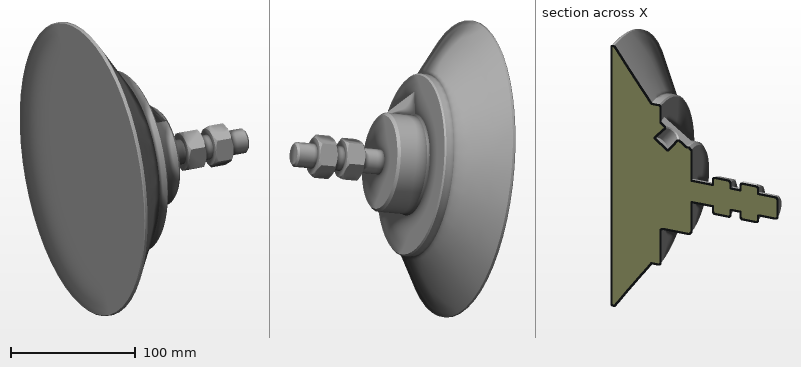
import cadquery as cq
import math

cup_radius = 119.5
face_radius = 118.9
lip_bevel = 0.7
lip_depth = 2.6

disc_radius = 147.0 / 2
disc_front = 34.7
disc_back = 42.5
disc_bevel = 1.2

boss_radius = 80.0 / 2
boss_back = 69.4
boss_bevel = 2.2
foot_flare = 1.0
foot_height = 2.0

stud_radius = 20.0 / 2
stud_back = 144.0
stud_bevel = 1.7

nut_across_flats = 30.4
nut_thickness = 15.8
nut_bevel_radius = 14.8
nut_bevel_depth = 2.0
nuts = [(87.5, -4.5), (111.5, 6.2)]

port_turn = 5
port_width = 26.3
port_reach = 57.5
port_top = boss_back - boss_bevel
port_hole_diameter = 16.0
port_rim_diameter = 18.0
port_hole_depth = 15.0
port_centre_depth = 52.5


def revolved(profile):
    """Turn a (radius, depth) outline about the Y axis."""
    return cq.Workplane("XY").polyline(profile).close().revolve(360, (0, 0, 0), (0, 1, 0))


def make_body():
    return revolved([
        (0, 0),
        (face_radius, 0),
        (cup_radius, lip_bevel),
        (cup_radius, lip_depth),
        (disc_radius, disc_front),
        (disc_radius, disc_back - disc_bevel),
        (disc_radius - disc_bevel, disc_back),
        (boss_radius + foot_flare, disc_back),
        (boss_radius, disc_back + foot_height),
        (boss_radius, boss_back - boss_bevel),
        (boss_radius - boss_bevel, boss_back),
        (stud_radius, boss_back),
        (stud_radius, stud_back - stud_bevel),
        (stud_radius - stud_bevel, stud_back),
        (0, stud_back),
    ])


def make_nut(front, turn):
    corner_radius = nut_across_flats / 2 / math.cos(math.pi / 6)
    back = front + nut_thickness
    prism = (
        cq.Workplane("XZ", origin=(0, front, 0))
        .polygon(6, 2 * corner_radius)
        .extrude(-nut_thickness)
        .rotate((0, 0, 0), (0, 1, 0), 90 - turn)
    )
    envelope = revolved([
        (0, front),
        (nut_bevel_radius, front),
        (corner_radius, front + nut_bevel_depth),
        (corner_radius, back - nut_bevel_depth),
        (nut_bevel_radius, back),
        (0, back),
    ])
    return prism.intersect(envelope)


slope_start = math.sqrt(boss_radius**2 - (port_width / 2) ** 2)
slope_run = port_reach - slope_start
slope_drop = port_top - disc_back


def make_port_block():
    block = (
        cq.Workplane("YZ", origin=(-port_width / 2, 0, 0))
        .polyline([(disc_back, 0), (port_top, 0), (port_top, slope_start), (disc_back, port_reach)])
        .close()
        .extrude(port_width)
    )
    return block.rotate((0, 0, 0), (0, 1, 0), port_turn)


def make_port_hole():
    """Blind hole square to the slope, with a bevelled mouth."""
    rim_bevel = (port_rim_diameter - port_hole_diameter) / 2
    centre_height = port_reach - (port_centre_depth - disc_back) * slope_run / slope_drop
    mouth = cq.Plane(
        origin=(0, port_centre_depth, centre_height),
        xDir=(1, 0, 0),
        normal=(0, -slope_run, -slope_drop),
    )
    bore = cq.Workplane(mouth).circle(port_hole_diameter / 2).extrude(port_hole_depth)
    rim = (
        cq.Workplane(mouth)
        .circle(port_rim_diameter / 2)
        .workplane(offset=rim_bevel)
        .circle(port_hole_diameter / 2)
        .loft()
    )
    return bore.union(rim).rotate((0, 0, 0), (0, 1, 0), port_turn)


result = make_body().union(make_port_block()).cut(make_port_hole())
for nut_front, nut_turn in nuts:
    result = result.union(make_nut(nut_front, nut_turn))